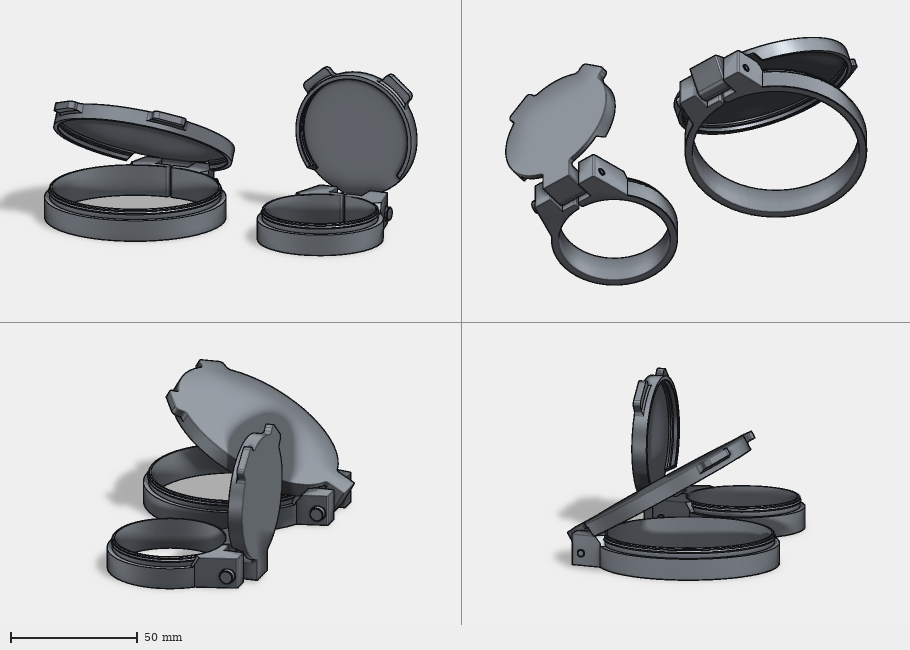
import cadquery as cq
import math


EDGE_RADIUS = 0.2

WALL = 3.0
LEDGE_HEIGHT = 8.5
LIP_HEIGHT = 4.0
RING_HEIGHT = LEDGE_HEIGHT + LIP_HEIGHT
LEDGE_WIDTH = 2.0
LIP_CHAMFER = 0.4
BEAD_HEIGHT = 11.0
BEAD_HALF_WIDTH = 0.6
BEAD_DEPTH = 0.4
SPLIT_GAP = 1.0
SPLIT_CORNER_RADIUS = 0.8

HINGE_SETBACK = 4.0
HINGE_HEIGHT = 5.0
LUG_BEHIND_HINGE = 4.0
LUG_REAR_HALF_WIDTH = 14.6
LUG_CORNER_RADIUS = 0.8
LUG_END_SLOPE = 31.0
SLOT_HALF_WIDTH = 6.9
SLOT_AHEAD_OF_HINGE = 4.1
SLOT_MOUTH_RADIUS = 0.5

PLATE_THICKNESS = 2.0
RIM_WALL = 1.8
RIM_END_GAP = 1.2
RIM_CHAMFER = 0.3
LID_HEIGHT = PLATE_THICKNESS + LIP_HEIGHT
LID_TOP = LEDGE_HEIGHT + LID_HEIGHT
PLATE_BOTTOM = LID_TOP - PLATE_THICKNESS
TAIL_HALF_WIDTH = 6.5
TAIL_BEHIND_HINGE = 4.0
TAIL_AHEAD_OF_HINGE = 3.6
TAIL_BELOW_HINGE = 4.0
TAIL_NOSE_RADIUS = 3.0
TAIL_EDGE_RADIUS = 0.5
TAIL_ROOT_RADIUS = 1.0
TAIL_SIDE_RADIUS = 1.5
EAR_REACH = 4.0
EAR_HALF_WIDTH = 6.63
EAR_THICKNESS = 3.0
EAR_CORNER_RADIUS = 2.0
EAR_ROOT_RADIUS = 2.0
EAR_CHAMFER = 0.8

SHANK_DIAMETER = 3.0
SHANK_LENGTH = 30.0
HEAD_DIAMETER = 5.5
HEAD_LENGTH = 3.0
HEAD_SEAT_X = 14.3
SCREW_CHAMFER = 0.3
LUG_HOLE_DIAMETER = 3.2
TAIL_HOLE_DIAMETER = 3.4
COUNTERBORE_DIAMETER = 6.1

LARGE_RADIUS = 36.0
LARGE_LUG_ANGLE = 28.5
LARGE_SECTOR_ANGLE = 29.7
LARGE_EAR_ANGLE = 36.0
LARGE_OPENING = 30.0

SMALL_RADIUS = 25.0
SMALL_LUG_ANGLE = 49.0
SMALL_SECTOR_ANGLE = 50.5
SMALL_EAR_ANGLE = 40.0
SMALL_OPENING = 90.0
CAP_SPACING = 80.08


def disc(radius, bottom, height):
    return cq.Workplane("XY").workplane(offset=bottom).circle(radius).extrude(height)


def block(half_width, y_front, y_rear, bottom, top):
    size = (2 * half_width, y_rear - y_front, top - bottom)
    centre = (0, (y_front + y_rear) / 2, (bottom + top) / 2)
    return cq.Workplane("XY").box(*size).translate(centre)


def hinge_cylinder(diameter, x_start, x_end, hinge_y):
    plane = cq.Workplane("YZ", origin=(x_start, hinge_y, HINGE_HEIGHT))
    return plane.circle(diameter / 2).extrude(x_end - x_start)


def round_upright_edges(part, x, y, middle_z, radius):
    """Fillets the two mirrored upright edges at +x and -x."""
    for side_x in (-x, x):
        part = part.edges(cq.selectors.NearestToPointSelector((side_x, y, middle_z))).fillet(radius)
    return part


def bead(radius):
    """V-shaped snap bead around a wall of the given radius, rooted a little inside it."""
    root = radius - BEAD_DEPTH
    profile = [
        (root, BEAD_HEIGHT - BEAD_HALF_WIDTH),
        (radius, BEAD_HEIGHT - BEAD_HALF_WIDTH),
        (radius + BEAD_DEPTH, BEAD_HEIGHT),
        (radius, BEAD_HEIGHT + BEAD_HALF_WIDTH),
        (root, BEAD_HEIGHT + BEAD_HALF_WIDTH),
    ]
    return cq.Workplane("XZ").polyline(profile).close().revolve(360, (0, 0), (0, 1))


def hinge_sector(sector_angle, gap, hinge_y):
    """Wedge above the ledge, where the lug replaces the lip; its two sides lean inwards."""
    apex_y = -gap / math.sin(math.radians(sector_angle))
    far_y = 2 * hinge_y
    far_x = (far_y - apex_y) * math.tan(math.radians(sector_angle))
    triangle = [(0, apex_y), (far_x, far_y), (-far_x, far_y)]
    plane = cq.Workplane("XY").workplane(offset=LEDGE_HEIGHT)
    return plane.polyline(triangle).close().extrude(LIP_HEIGHT, taper=LUG_END_SLOPE)


def ring_and_lug_prism(ring_radius, lug_angle, hinge_y):
    """Full-height ring with the lug behind it, split and slotted for the tail of the lid."""
    foot_x = ring_radius * math.sin(math.radians(lug_angle))
    foot_y = ring_radius * math.cos(math.radians(lug_angle))
    rear_y = hinge_y + LUG_BEHIND_HINGE
    outline = [
        (0, 0),
        (foot_x, foot_y),
        (LUG_REAR_HALF_WIDTH, rear_y),
        (-LUG_REAR_HALF_WIDTH, rear_y),
        (-foot_x, foot_y),
    ]
    prism = cq.Workplane("XY").polyline(outline).close().extrude(RING_HEIGHT)
    prism = prism.edges("|Z and >Y").fillet(LUG_CORNER_RADIUS)
    prism = prism.union(disc(ring_radius, 0, RING_HEIGHT)).cut(disc(ring_radius - WALL, 0, RING_HEIGHT))

    slot_front = hinge_y - SLOT_AHEAD_OF_HINGE
    bore_y = math.sqrt((ring_radius - WALL) ** 2 - (SPLIT_GAP / 2) ** 2)
    middle_z = RING_HEIGHT / 2
    prism = prism.cut(block(SLOT_HALF_WIDTH, slot_front, rear_y, 0, RING_HEIGHT))
    prism = prism.cut(block(SPLIT_GAP / 2, 0, slot_front, 0, RING_HEIGHT))
    prism = round_upright_edges(prism, SPLIT_GAP / 2, bore_y, middle_z, SPLIT_CORNER_RADIUS)
    prism = round_upright_edges(prism, SPLIT_GAP / 2, slot_front, middle_z, SPLIT_CORNER_RADIUS)
    prism = round_upright_edges(prism, SLOT_HALF_WIDTH, rear_y, middle_z, SLOT_MOUTH_RADIUS)
    return prism.faces("<Z or >Z").edges().fillet(EDGE_RADIUS)


def lip(ring_radius, sector):
    """Stepped-in snap lip above the ledge, interrupted by the lug."""
    lip_radius = ring_radius - LEDGE_WIDTH
    ring = disc(lip_radius, LEDGE_HEIGHT, LIP_HEIGHT).edges(">Z").chamfer(LIP_CHAMFER)
    ring = ring.union(bead(lip_radius))
    return ring.cut(disc(ring_radius - WALL, LEDGE_HEIGHT, LIP_HEIGHT)).cut(sector)


def clamp_ring(ring_radius, lug_angle, sector_angle):
    hinge_y = ring_radius + HINGE_SETBACK
    sector = hinge_sector(sector_angle, 0, hinge_y)
    prism = ring_and_lug_prism(ring_radius, lug_angle, hinge_y)
    ring = prism.intersect(disc(2 * hinge_y, 0, LEDGE_HEIGHT))
    ring = ring.union(prism.intersect(sector)).union(lip(ring_radius, sector))
    ring = ring.cut(hinge_cylinder(SHANK_DIAMETER, -ring_radius, 0, hinge_y))
    ring = ring.cut(hinge_cylinder(LUG_HOLE_DIAMETER, 0, HEAD_SEAT_X, hinge_y))
    return ring.cut(hinge_cylinder(COUNTERBORE_DIAMETER, HEAD_SEAT_X, ring_radius, hinge_y))


def lid_ear(ring_radius, side_angle):
    """Finger ear turned away from the -Y direction, with a chamfered root under it."""
    tip = -(ring_radius + EAR_REACH)
    ear = block(EAR_HALF_WIDTH, tip, 0, LID_TOP - EAR_THICKNESS, LID_TOP)
    ear = ear.edges("|Z and <Y").fillet(EAR_CORNER_RADIUS)
    under = cq.Workplane("XY").workplane(offset=LID_TOP - EAR_THICKNESS).circle(ring_radius + EAR_CHAMFER)
    root = under.extrude(-EAR_CHAMFER, taper=45)
    root = root.intersect(block(EAR_HALF_WIDTH, tip, 0, LEDGE_HEIGHT, LID_TOP))
    return ear.union(root).rotate((0, 0, 0), (0, 0, 1), side_angle)


def ear_root_points(ring_radius, side_angle):
    """Points on the inner corners where the sides of an ear leave the rim."""
    half_angle = math.degrees(math.asin(EAR_HALF_WIDTH / ring_radius))
    middle_z = LID_TOP - EAR_THICKNESS / 2
    points = []
    for offset in (-half_angle, half_angle):
        direction = math.radians(side_angle + offset)
        points.append((ring_radius * math.sin(direction), -ring_radius * math.cos(direction), middle_z))
    return points


def lid_tail(hinge_y, neck_start):
    front_y = hinge_y - TAIL_AHEAD_OF_HINGE
    rear_y = hinge_y + TAIL_BEHIND_HINGE
    tail = block(TAIL_HALF_WIDTH, front_y, rear_y, HINGE_HEIGHT - TAIL_BELOW_HINGE, LID_TOP)
    tail = tail.union(block(TAIL_HALF_WIDTH, neck_start, hinge_y, PLATE_BOTTOM, LID_TOP))
    tail = tail.edges("|X and <Z").fillet(TAIL_NOSE_RADIUS)
    inner_corner = cq.selectors.NearestToPointSelector((0, front_y, PLATE_BOTTOM))
    tail = tail.edges(inner_corner).fillet(TAIL_ROOT_RADIUS)
    tail = tail.edges("|Z and >Y").fillet(TAIL_EDGE_RADIUS)
    return tail.cut(hinge_cylinder(TAIL_HOLE_DIAMETER, -TAIL_HALF_WIDTH, TAIL_HALF_WIDTH, hinge_y))


def lid(ring_radius, sector_angle, ear_angle, opening):
    hinge_y = ring_radius + HINGE_SETBACK
    inner_radius = ring_radius - RIM_WALL
    body = disc(ring_radius, LEDGE_HEIGHT, LID_HEIGHT)

    plate_edge_y = math.sqrt(ring_radius**2 - TAIL_HALF_WIDTH**2)
    plate_middle = LID_TOP - PLATE_THICKNESS / 2
    body = body.union(block(TAIL_HALF_WIDTH, 0, hinge_y, PLATE_BOTTOM, LID_TOP))
    body = round_upright_edges(body, TAIL_HALF_WIDTH, plate_edge_y, plate_middle, TAIL_SIDE_RADIUS)

    for side in (-1, 1):
        body = body.union(lid_ear(ring_radius, side * ear_angle))
        for point in ear_root_points(ring_radius, side * ear_angle):
            body = body.edges(cq.selectors.NearestToPointSelector(point)).fillet(EAR_ROOT_RADIUS)

    lead_in = cq.Workplane("XY").workplane(offset=LEDGE_HEIGHT).circle(inner_radius + RIM_CHAMFER)
    body = body.cut(disc(inner_radius, LEDGE_HEIGHT, LIP_HEIGHT)).cut(bead(inner_radius))
    body = body.cut(lead_in.extrude(RIM_CHAMFER, taper=45))

    body = body.cut(hinge_sector(sector_angle, RIM_END_GAP, hinge_y))
    body = body.union(lid_tail(hinge_y, inner_radius - TAIL_HALF_WIDTH))
    body = body.faces(">Z").edges().fillet(EDGE_RADIUS)
    return body.rotate((0, hinge_y, HINGE_HEIGHT), (1, hinge_y, HINGE_HEIGHT), -opening)


def hinge_screw(ring_radius):
    hinge_y = ring_radius + HINGE_SETBACK
    head = hinge_cylinder(HEAD_DIAMETER, HEAD_SEAT_X, HEAD_SEAT_X + HEAD_LENGTH, hinge_y)
    head = head.faces(">X").chamfer(SCREW_CHAMFER)
    shank = hinge_cylinder(SHANK_DIAMETER, HEAD_SEAT_X - SHANK_LENGTH, HEAD_SEAT_X, hinge_y)
    return head.union(shank.faces("<X").chamfer(SCREW_CHAMFER))


def small_cap_place(part):
    return part.translate((CAP_SPACING, 0, 0))


large_ring = clamp_ring(LARGE_RADIUS, LARGE_LUG_ANGLE, LARGE_SECTOR_ANGLE)
large_lid = lid(LARGE_RADIUS, LARGE_SECTOR_ANGLE, LARGE_EAR_ANGLE, LARGE_OPENING)
large_screw = hinge_screw(LARGE_RADIUS)

small_ring = small_cap_place(clamp_ring(SMALL_RADIUS, SMALL_LUG_ANGLE, SMALL_SECTOR_ANGLE))
small_lid = small_cap_place(lid(SMALL_RADIUS, SMALL_SECTOR_ANGLE, SMALL_EAR_ANGLE, SMALL_OPENING))
small_screw = small_cap_place(hinge_screw(SMALL_RADIUS))

bodies = [large_ring, large_lid, large_screw, small_ring, small_lid, small_screw]
result = cq.Compound.makeCompound([body.val() for body in bodies])